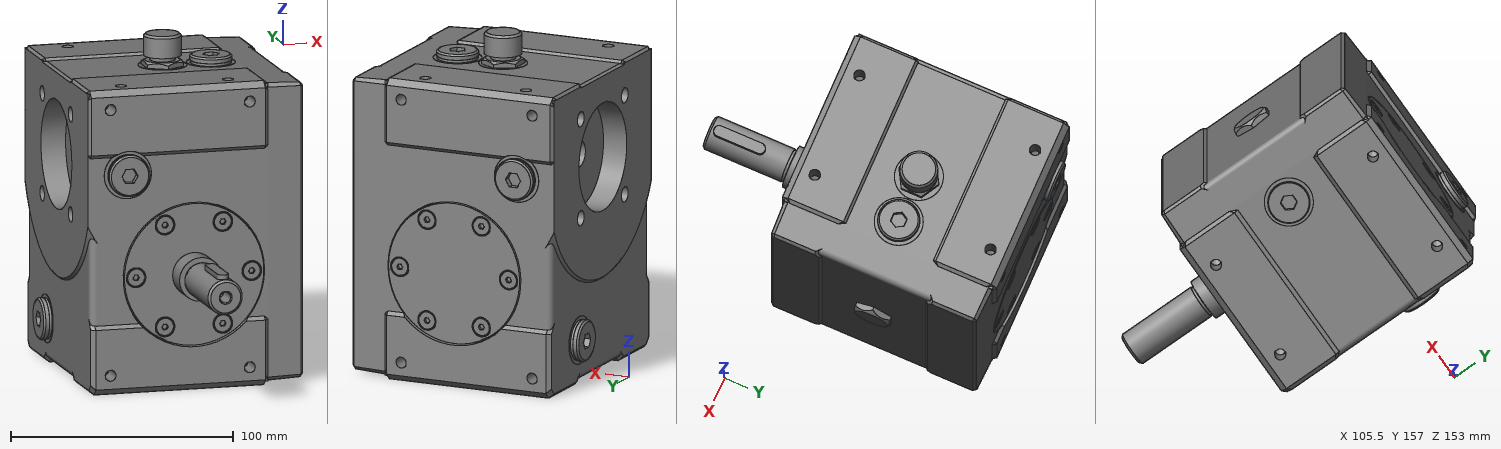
import cadquery as cq
import math


WORM_HEIGHT = 47.5
PAD_HALF_WIDTH = 52.5
PAD_TOP = 86.7
PAD_BOTTOM = -53.0
CORE_HALF_WIDTH = 50.9
CORE_TOP = 85.5
CORE_BOTTOM = -51.2
BODY_FRONT = -48.2
BODY_BACK = 34.5
CORE_FILLET = 3.0
TOP_FRONT_BEVEL = (1.7, 0.6)

PAD_INNER_Y = 22.6
UPPER_PAD_INNER_Z = 57.4
LOWER_PAD_INNER_Z = -22.8
PAD_ROOT_Y = 19.0
PAD_EDGE_CHAMFER = 2.8
UPPER_PAD_FRONT_BEVEL = 1.2
LOWER_PAD_FRONT_BEVEL = 2.0
PAD_BACK_BEVEL = 1.6
PAD_BEVEL_INSET = 1.8
PAD_HOLE_DIAMETER = 5.0
PAD_HOLE_DEPTH = 12.0
DRILL_POINT_ANGLE = 118.0
PAD_HOLE_CENTER_X = -6.8
SIDE_HOLE_PITCH = (65.0, 122.0)
SIDE_HOLE_CENTER_Z = 17.0
TOP_HOLE_PITCH = (50.0, 86.0)

FLANGE_FACE = -49.5
FLANGE_RADIUS = 55.8
FLANGE_ROOT_RADIUS = 59.4
FLANGE_ROOT = -45.2
SPIGOT_DIAMETER = 50.0
SPIGOT_DEPTH = 11.5
WORM_BORE_DIAMETER = 12.0
WORM_BORE_DEPTH = 30.0
MOTOR_HOLE_DIAMETER = 7.0
MOTOR_HOLE_CIRCLE = 65.0
MOTOR_HOLE_COUNT = 4
MOTOR_HOLE_START = 45.0
MOTOR_HOLE_DEPTH = 15.0

COVER_BACK = 51.3
COVER_DRAFT = 2.4
COVER_CORNER_CHAMFER = 1.8
COVER_EDGE_CHAMFER = 1.3
COVER_RECESS_DEPTH = 1.0
COVER_RECESS_HALF_WIDTH = 26.5
COVER_RECESS_FILLET = 2.6
COVER_RECESS_FLARE = 3.4

BEARING_POCKET_DIAMETER = 66.0
BEARING_COVER_DIAMETER = 65.0
BEARING_COVER_FACE = 51.3
BEARING_POCKET_FLOOR = 48.0
SCREW_CIRCLE_RADIUS = 27.0
SCREW_COUNT = 6
SCREW_HEAD_DIAMETER = 8.0
SCREW_RECESS_DIAMETER = 9.0
SCREW_RECESS_DEPTH = 1.0
SCREW_HEX = 2.5
SCREW_HEX_DEPTH = 1.5

COLLAR_DIAMETER = 20.0
COLLAR_END = -62.5
GROOVE_DIAMETER = 15.0
GROOVE_WIDTH = 1.5
SHAFT_DIAMETER = 16.0
SHAFT_END = -102.5
SHAFT_CHAMFER = 1.0
KEY_WIDTH = 5.0
KEY_LENGTH = 25.0
KEY_TOP = 10.0
KEY_END_MARGIN = 2.2
CENTER_HOLE_DIAMETER = 5.0
CENTER_HOLE_DEPTH = 12.0
CENTER_HOLE_MOUTH = 6.0

PLUG_DIAMETER = 19.0
PLUG_HEIGHT = 3.6
PLUG_CHAMFER = 0.8
GASKET_DIAMETER = 18.6
GASKET_HEIGHT = 1.2
PLUG_HEX = 6.5
PLUG_HEX_DEPTH = 3.0
SPOTFACE_DIAMETER = 22.0
SPOTFACE_SINK = 0.2
SPOTFACE_CLEARANCE = 3.0
BOTTOM_PLUG_HEIGHT = 1.8
SIDE_PLUG_X = -30.8
TOP_PLUG_X = 22.6
FRONT_PLUG_YZ = (21.3, -32.6)
HEX_TOP_DIAMETER = 15.8
BREATHER_HEX = 17.0
BREATHER_HEX_HEIGHT = 2.4
BREATHER_HEX_BEVEL = 30.0
BREATHER_NECK_DIAMETER = 11.5
BREATHER_CAP_DIAMETER = 17.0
BREATHER_CAP_BOTTOM = 90.0
BREATHER_CAP_TOP = 100.0
BREATHER_CAP_CHAMFER = 1.0
SIGHT_HEX = 17.0
SIGHT_HEX_BEVEL = 45.0
SIGHT_Z = 16.9
SIGHT_END = 53.7

HEX_CORNER = 2 / math.sqrt(3)


def box(x_range, y_range, z_range):
    size = [high - low for low, high in (x_range, y_range, z_range)]
    return cq.Workplane().box(*size, centered=False).translate((x_range[0], y_range[0], z_range[0]))


def plane_at(point, outward, across=(1, 0, 0)):
    return cq.Workplane(cq.Plane(origin=point, xDir=across, normal=outward))


def blind_hole(point, inward, diameter, depth):
    """Cylinder with a drill point, used as a cutter."""
    tip = diameter / 2 / math.tan(math.radians(DRILL_POINT_ANGLE / 2))
    straight = cq.Solid.makeCylinder(diameter / 2, depth, cq.Vector(point), cq.Vector(inward))
    cone_base = cq.Vector(point) + cq.Vector(inward) * depth
    cone = cq.Solid.makeCone(diameter / 2, 0, tip, cone_base, cq.Vector(inward))
    return cq.Workplane(straight).union(cq.Workplane(cone))


def make_core():
    core = box(
        (BODY_FRONT, BODY_BACK),
        (-CORE_HALF_WIDTH, CORE_HALF_WIDTH),
        (CORE_BOTTOM, CORE_TOP),
    )
    core = core.edges("(|Z and <X) or (|Y and <X and <Z)").fillet(CORE_FILLET)
    return core


def pad_outline(side, upper, bevelled):
    """YZ corner points of one pad; a bevelled outline is drawn back to the recessed faces."""
    level = PAD_TOP if upper else PAD_BOTTOM
    recess_level = CORE_TOP if upper else CORE_BOTTOM
    inner_z = UPPER_PAD_INNER_Z if upper else LOWER_PAD_INNER_Z
    up = 1 if upper else -1
    flank = PAD_INNER_Y - PAD_ROOT_Y
    root_z = inner_z - up * (PAD_HALF_WIDTH - CORE_HALF_WIDTH + flank)
    inner_y = PAD_INNER_Y + PAD_BEVEL_INSET if bevelled else PAD_INNER_Y
    outer_y = CORE_HALF_WIDTH if bevelled else PAD_HALF_WIDTH
    outer_z = recess_level if bevelled else level
    points = [
        (inner_y - flank, outer_z - up * flank),
        (inner_y, outer_z),
        (outer_y - PAD_EDGE_CHAMFER, outer_z),
        (outer_y, outer_z - up * PAD_EDGE_CHAMFER),
        (outer_y, inner_z),
        (CORE_HALF_WIDTH - flank, root_z),
        (PAD_ROOT_Y, root_z),
    ]
    return [(side * y, z) for y, z in points]


def make_pad(side, upper):
    front = FLANGE_FACE if upper else BODY_FRONT
    front_bevel = UPPER_PAD_FRONT_BEVEL if upper else LOWER_PAD_FRONT_BEVEL

    def section(x, bevelled):
        points = [cq.Vector(x, y, z) for y, z in pad_outline(side, upper, bevelled)]
        return cq.Wire.makePolygon(points, close=True)

    stations = [
        (front, True),
        (front + front_bevel, False),
        (BODY_BACK - PAD_BACK_BEVEL, False),
        (BODY_BACK, True),
    ]
    pad = cq.Workplane()
    for start, end in zip(stations, stations[1:]):
        piece = cq.Solid.makeLoft([section(*start), section(*end)], True)
        pad = pad.union(cq.Workplane(piece))
    return pad


def make_flange():
    """Raised motor face: round below the worm axis, full width above it."""
    depth = FLANGE_ROOT - FLANGE_FACE
    cone = cq.Workplane(cq.Solid.makeCone(
        FLANGE_RADIUS, FLANGE_ROOT_RADIUS, depth,
        cq.Vector(FLANGE_FACE, 0, WORM_HEIGHT), cq.Vector(1, 0, 0),
    ))
    width = (-CORE_HALF_WIDTH, CORE_HALF_WIDTH)
    upper = box((FLANGE_FACE, FLANGE_ROOT), width, (WORM_HEIGHT, CORE_TOP))
    limit = box((FLANGE_FACE, FLANGE_ROOT), width, (CORE_BOTTOM, CORE_TOP))
    return cone.intersect(limit).union(upper)


def cut_top_front_bevel(body):
    run, drop = TOP_FRONT_BEVEL
    wedge = (
        cq.Workplane("XZ")
        .polyline([(FLANGE_FACE, CORE_TOP), (FLANGE_FACE + run, CORE_TOP), (FLANGE_FACE, CORE_TOP - drop)])
        .close()
        .extrude(PAD_INNER_Y, both=True)
    )
    return body.cut(wedge)


def cut_motor_holes(body):
    face = plane_at((FLANGE_FACE, 0, WORM_HEIGHT), (-1, 0, 0), (0, 1, 0))
    body = body.cut(face.circle(SPIGOT_DIAMETER / 2).extrude(-SPIGOT_DEPTH))
    body = body.cut(face.circle(WORM_BORE_DIAMETER / 2).extrude(-SPIGOT_DEPTH - WORM_BORE_DEPTH))
    holes = (
        face.polarArray(MOTOR_HOLE_CIRCLE / 2, MOTOR_HOLE_START, 360, MOTOR_HOLE_COUNT)
        .circle(MOTOR_HOLE_DIAMETER / 2)
        .extrude(-MOTOR_HOLE_DEPTH)
    )
    return body.cut(holes)


def cut_pad_holes(body):
    for x_step in (-0.5, 0.5):
        for side in (-1, 1):
            x = PAD_HOLE_CENTER_X + x_step * TOP_HOLE_PITCH[0]
            y = side * TOP_HOLE_PITCH[1] / 2
            for z, inward in ((PAD_TOP, -1), (PAD_BOTTOM, 1)):
                body = body.cut(blind_hole((x, y, z), (0, 0, inward), PAD_HOLE_DIAMETER, PAD_HOLE_DEPTH))
            x = PAD_HOLE_CENTER_X + x_step * SIDE_HOLE_PITCH[0]
            y = side * PAD_HALF_WIDTH
            for z_step in (-0.5, 0.5):
                z = SIDE_HOLE_CENTER_Z + z_step * SIDE_HOLE_PITCH[1]
                body = body.cut(blind_hole((x, y, z), (0, -side, 0), PAD_HOLE_DIAMETER, PAD_HOLE_DEPTH))
    return body


def make_cover_plate(back):
    """Drafted plate with chamfered corners, from the housing joint to the given X."""
    return (
        plane_at((BODY_BACK, 0, (CORE_TOP + CORE_BOTTOM) / 2), (1, 0, 0), (0, 1, 0))
        .sketch()
        .rect(2 * CORE_HALF_WIDTH, CORE_TOP - CORE_BOTTOM)
        .vertices()
        .chamfer(COVER_CORNER_CHAMFER)
        .finalize()
        .extrude(back - BODY_BACK, taper=COVER_DRAFT)
    )


def make_cover_recess(floor):
    """Full-height channel with 45 degree flanks, flared at both ends."""
    depth = COVER_BACK - floor

    def section(z, flare):
        half_width = COVER_RECESS_HALF_WIDTH + flare
        points = [
            (floor, -half_width + depth),
            (COVER_BACK, -half_width),
            (COVER_BACK, half_width),
            (floor, half_width - depth),
        ]
        return cq.Wire.makePolygon([cq.Vector(x, y, z) for x, y in points], close=True)

    draft_run = (COVER_BACK - BODY_BACK) * math.tan(math.radians(COVER_DRAFT))
    stations = [
        (CORE_BOTTOM, COVER_RECESS_FLARE + draft_run),
        (CORE_BOTTOM + draft_run + COVER_RECESS_FLARE, 0),
        (CORE_TOP - draft_run - COVER_RECESS_FLARE, 0),
        (CORE_TOP, COVER_RECESS_FLARE + draft_run),
    ]
    recess = cq.Workplane()
    for start, end in zip(stations, stations[1:]):
        recess = recess.union(cq.Workplane(cq.Solid.makeLoft([section(*start), section(*end)], True)))
    return recess


def make_rear_cover():
    """Plate with rounded edges, carrying two pads along its sides."""
    floor = COVER_BACK - COVER_RECESS_DEPTH
    plate = make_cover_plate(floor).faces(">X").edges("|Y").fillet(COVER_RECESS_FILLET)
    pads = make_cover_plate(COVER_BACK).faces(">X").chamfer(COVER_EDGE_CHAMFER)
    return plate.union(pads.cut(make_cover_recess(floor - COVER_RECESS_FILLET)))


def add_bearing_cover(body, side):
    floor = plane_at((0, side * BEARING_POCKET_FLOOR, 0), (0, side, 0))
    pocket_depth = PAD_HALF_WIDTH - BEARING_POCKET_FLOOR
    body = body.cut(floor.circle(BEARING_POCKET_DIAMETER / 2).extrude(pocket_depth))
    disc = floor.circle(BEARING_COVER_DIAMETER / 2).extrude(BEARING_COVER_FACE - BEARING_POCKET_FLOOR)

    screws = plane_at((0, side * BEARING_COVER_FACE, 0), (0, side, 0)).polarArray(
        SCREW_CIRCLE_RADIUS, 0, 360, SCREW_COUNT,
    )
    gaps = screws.circle(SCREW_RECESS_DIAMETER / 2).extrude(-SCREW_RECESS_DEPTH)
    heads = screws.circle(SCREW_HEAD_DIAMETER / 2).extrude(-SCREW_RECESS_DEPTH)
    sockets = screws.polygon(6, SCREW_HEX * HEX_CORNER).extrude(-SCREW_HEX_DEPTH)
    return body.union(disc.cut(gaps.cut(heads)).cut(sockets))


def make_shaft():
    collar = plane_at((0, -BEARING_POCKET_FLOOR, 0), (0, -1, 0)).circle(COLLAR_DIAMETER / 2)
    shaft = collar.extrude(-BEARING_POCKET_FLOOR - COLLAR_END)
    groove = plane_at((0, COLLAR_END, 0), (0, -1, 0)).circle(GROOVE_DIAMETER / 2).extrude(GROOVE_WIDTH)
    journal_start = COLLAR_END - GROOVE_WIDTH
    journal = (
        plane_at((0, journal_start, 0), (0, -1, 0))
        .circle(SHAFT_DIAMETER / 2)
        .extrude(journal_start - SHAFT_END)
        .faces("<Y")
        .chamfer(SHAFT_CHAMFER)
    )
    key = (
        cq.Workplane("XY")
        .center(0, SHAFT_END + KEY_END_MARGIN + KEY_LENGTH / 2)
        .slot2D(KEY_LENGTH, KEY_WIDTH, 90)
        .extrude(KEY_TOP)
    )
    shaft = shaft.union(groove).union(journal).union(key)

    shaft = shaft.cut(blind_hole((0, SHAFT_END, 0), (0, 1, 0), CENTER_HOLE_DIAMETER, CENTER_HOLE_DEPTH))
    step = (CENTER_HOLE_MOUTH - CENTER_HOLE_DIAMETER) / 2
    mouth = cq.Solid.makeCone(
        CENTER_HOLE_MOUTH / 2, CENTER_HOLE_DIAMETER / 2, step,
        cq.Vector(0, SHAFT_END, 0), cq.Vector(0, 1, 0),
    )
    return shaft.cut(cq.Workplane(mouth))


def cut_spotface(body, point, outward):
    bottom = cq.Vector(point) - cq.Vector(outward) * SPOTFACE_SINK
    depth = SPOTFACE_SINK + SPOTFACE_CLEARANCE
    cutter = cq.Solid.makeCylinder(SPOTFACE_DIAMETER / 2, depth, bottom, cq.Vector(outward))
    return body.cut(cq.Workplane(cutter))


def add_plug(body, point, outward, height=PLUG_HEIGHT):
    """Oil plug with a hexagon socket, on a gasket seated in a spotface."""
    body = cut_spotface(body, point, outward)
    across = (1, 0, 0) if outward[0] == 0 else (0, 1, 0)
    direction = cq.Vector(outward)
    seat = cq.Vector(point) - direction * SPOTFACE_SINK
    top = cq.Vector(point) + direction * height
    rim_height = height + SPOTFACE_SINK - GASKET_HEIGHT
    gasket = plane_at(seat, outward, across).circle(GASKET_DIAMETER / 2).extrude(GASKET_HEIGHT)
    plug = (
        plane_at(seat + direction * GASKET_HEIGHT, outward, across)
        .circle(PLUG_DIAMETER / 2)
        .extrude(rim_height)
        .faces(cq.selectors.DirectionMinMaxSelector(direction))
        .chamfer(min(PLUG_CHAMFER, rim_height / 2))
    )
    socket = plane_at(top, outward, across).polygon(6, PLUG_HEX * HEX_CORNER).extrude(-PLUG_HEX_DEPTH)
    return body.union(gasket).union(plug).cut(socket)


def make_hex_head(point, outward, across, flats, height, bevel_angle):
    """Hexagon whose outer corners are turned off by a cone."""
    corner = flats * HEX_CORNER
    base = plane_at(point, outward, across)
    bevel_width = (corner - HEX_TOP_DIAMETER) / 2
    bevel_drop = bevel_width * math.tan(math.radians(bevel_angle))
    turned = cq.Workplane(cq.Solid.makeCone(
        corner / 2 + (height - bevel_drop) * bevel_width / bevel_drop,
        HEX_TOP_DIAMETER / 2, height, cq.Vector(point), cq.Vector(outward),
    ))
    return base.polygon(6, corner).extrude(height).intersect(turned)


def add_breather(body):
    point = (0, 0, CORE_TOP)
    up = (0, 0, 1)
    body = cut_spotface(body, point, up)
    seat = (0, 0, CORE_TOP - SPOTFACE_SINK)
    height = BREATHER_HEX_HEIGHT + SPOTFACE_SINK
    head = make_hex_head(seat, up, (0, 1, 0), BREATHER_HEX, height, BREATHER_HEX_BEVEL)
    neck = plane_at(point, up).circle(BREATHER_NECK_DIAMETER / 2).extrude(BREATHER_CAP_BOTTOM - CORE_TOP)
    cap = (
        plane_at((0, 0, BREATHER_CAP_BOTTOM), up)
        .circle(BREATHER_CAP_DIAMETER / 2)
        .extrude(BREATHER_CAP_TOP - BREATHER_CAP_BOTTOM)
        .faces(">Z")
        .chamfer(BREATHER_CAP_CHAMFER)
    )
    return body.union(head).union(neck).union(cap)


def make_sight_glass():
    seat = COVER_BACK - COVER_RECESS_DEPTH
    height = SIGHT_END - seat
    return make_hex_head((seat, 0, SIGHT_Z), (1, 0, 0), (0, 0, 1), SIGHT_HEX, height, SIGHT_HEX_BEVEL)


body = make_core().union(make_flange())
body = cut_top_front_bevel(body)
for side in (-1, 1):
    for upper in (True, False):
        body = body.union(make_pad(side, upper))
body = cut_pad_holes(cut_motor_holes(body))
body = body.union(make_rear_cover())
for side in (-1, 1):
    body = add_bearing_cover(body, side)
    body = add_plug(body, (SIDE_PLUG_X, side * CORE_HALF_WIDTH, WORM_HEIGHT), (0, side, 0))
body = add_plug(body, (TOP_PLUG_X, 0, CORE_TOP), (0, 0, 1))
body = add_plug(body, (TOP_PLUG_X, 0, CORE_BOTTOM), (0, 0, -1), BOTTOM_PLUG_HEIGHT)
body = add_plug(body, (BODY_FRONT, *FRONT_PLUG_YZ), (-1, 0, 0))
body = add_breather(body)
result = body.union(make_shaft()).union(make_sight_glass())